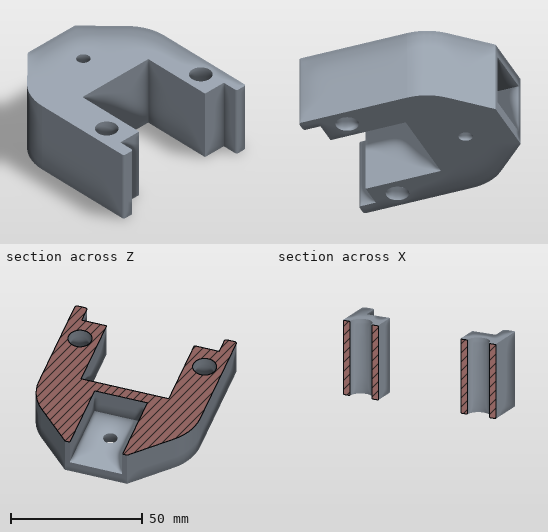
import cadquery as cq
import math

length = 73.0
width = 65.0
height = 30.0

nose_width = 25.0
flank_angle = math.radians(45)
flank_radius = 20.0

slot_width = 35.0
slot_floor_x = 35.0

lip_length = 7.0
lip_thickness = 5.0
lip_edge_radius = 1.0

arm_hole_diameter = 9.0
arm_hole_x = 56.0
arm_hole_spacing = 50.0
pin_hole_diameter = 5.5
pin_hole_x = slot_floor_x / 2

socket_size = 21.0
socket_end_wall = 5.0
socket_depth = slot_floor_x - socket_end_wall

half_width = width / 2
arm_end_x = length - lip_length


def make_body():
    """Plate with a tapered nose and rounded flank corners."""
    half_nose = nose_width / 2
    half_angle = flank_angle / 2
    corner_x = (half_width - half_nose) / math.tan(flank_angle)
    tangent_length = flank_radius * math.tan(half_angle)
    arc_start = (
        corner_x - tangent_length * math.cos(flank_angle),
        half_width - tangent_length * math.sin(flank_angle),
    )
    arc_end = (corner_x + tangent_length, half_width)
    arc_middle = (
        arc_end[0] - flank_radius * math.sin(half_angle),
        half_width - flank_radius * (1 - math.cos(half_angle)),
    )
    half_outline = (
        cq.Workplane("XY")
        .moveTo(0, 0)
        .lineTo(0, half_nose)
        .lineTo(*arc_start)
        .threePointArc(arc_middle, arc_end)
        .lineTo(length, half_width)
        .lineTo(length, 0)
        .close()
    )
    half_body = half_outline.extrude(height)
    return half_body.union(half_body.mirror("XZ"))


def block_from(x_start, block_width):
    """Full-height centred block from x_start to the arm tips, used as a cutter."""
    block = cq.Workplane("XY").box(
        length - x_start, block_width, height, centered=(False, True, False)
    )
    return block.translate((x_start, 0, 0))


def cut_arms(body):
    """Cut the slot and step the arm ends back to leave the lips."""
    body = body.cut(block_from(slot_floor_x, slot_width))
    body = body.cut(block_from(arm_end_x, width - 2 * lip_thickness))
    return body.faces(">X").edges("|Z").fillet(lip_edge_radius)


def vertical_hole(x, y, diameter):
    """Full-height cylinder used to cut a through hole."""
    return cq.Workplane("XY").center(x, y).circle(diameter / 2).extrude(height)


def cut_holes(body):
    """Drill one hole through each arm and a pin hole through the socket."""
    for side in (-1, 1):
        body = body.cut(vertical_hole(arm_hole_x, side * arm_hole_spacing / 2, arm_hole_diameter))
    return body.cut(vertical_hole(pin_hole_x, 0, pin_hole_diameter))


def cut_socket(body):
    """Blind square socket entering the nose face at mid height."""
    socket = cq.Workplane("XY").box(
        socket_depth, socket_size, socket_size, centered=(False, True, True)
    )
    return body.cut(socket.translate((0, 0, height / 2)))


result = cut_socket(cut_holes(cut_arms(make_body())))